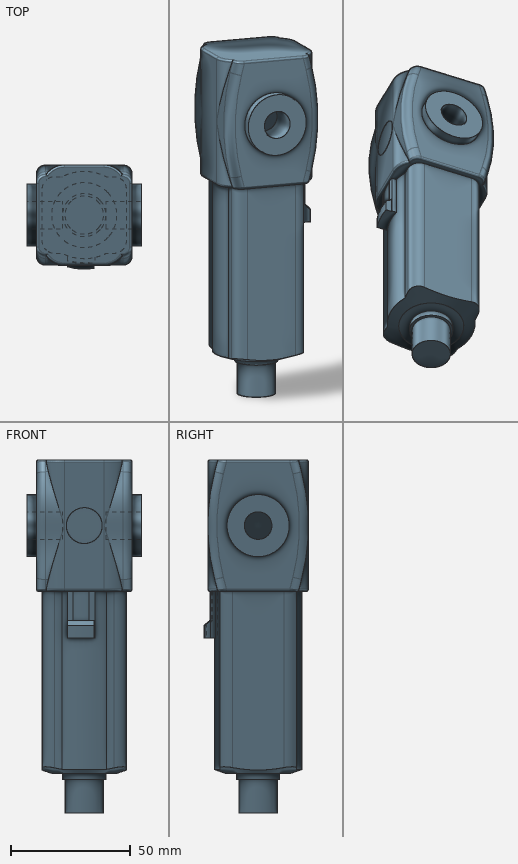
import cadquery as cq
import math

HEAD_WIDTH = 40.0
HEAD_DEPTH = 42.0
HEAD_HEIGHT = 55.0
HEAD_EDGE_RADIUS = 1.0
BULGE_RADIUS = 90.0
BULGE_HALF_HEIGHT = 22.5
CORNER_RADIUS = 3.75
SHOULDER_START = 8.25
SHOULDER_END = 16.25
SHOULDER_RADIUS = 9.4

PORT_DIAMETER = 26.0
PORT_SPAN = 48.0
PORT_BORE = 11.5
PORT_BORE_DEPTH = 15.0

DIAL_DIAMETER = 15.0
DIAL_DEPTH = 0.1

BOWL_WIDTH = 35.2
BOWL_DEPTH = 36.5
BOWL_BOTTOM = -103.5
BOWL_CORNER_RADIUS = 5.2
BOWL_STEP_INNER = 9.2
BOWL_STEP_Y = 16.0
BOWL_CONE_INNER_RADIUS = 13.6
BOWL_CONE_ANGLE = 19.0

COLLAR_DIAMETER = 18.0
COLLAR_HEIGHT = 2.6
STEM_DIAMETER = 16.0
OVERALL_HEIGHT = 147.6

LATCH_LEFT = -6.9
RAIL_RIGHT = 4.4
TAB_RIGHT = 4.0
GROOVE_LEFT = -4.6
GROOVE_RIGHT = 2.0
LATCH_ROOT_Y = -15.0
RAIL_THICKNESS = 2.0
GROOVE_DEPTH = 0.3
TAB_REACH = 22.6
TAB_TOP = -39.7
TAB_SHOULDER = -41.7
TAB_BOTTOM = -47.0

HEAD_TOP = HEAD_HEIGHT / 2
HEAD_BOTTOM = -HEAD_TOP
STEM_BOTTOM = HEAD_TOP - OVERALL_HEIGHT
BOWL_FRONT = BOWL_DEPTH / 2
BOWL_BULGE = BOWL_FRONT - BOWL_STEP_Y
BOWL_ARC_RADIUS = (BOWL_STEP_INNER**2 + BOWL_BULGE**2) / (2 * BOWL_BULGE)
BOWL_ARC_CENTER_Y = BOWL_ARC_RADIUS - BOWL_FRONT


def block(x_min, x_max, y_min, y_max, z_min, z_max):
    """Axis-aligned box between two corners."""
    size = (x_max - x_min, y_max - y_min, z_max - z_min)
    return cq.Workplane("XY").box(*size, centered=False).translate((x_min, y_min, z_min))


def make_bowed_block():
    """Full-width block whose front and back bow outward at mid height."""
    half = HEAD_DEPTH / 2
    tilt = math.asin(BULGE_HALF_HEIGHT / BULGE_RADIUS)
    arc_end_y = half - BULGE_RADIUS * (1 - math.cos(tilt))
    rim_y = arc_end_y - (HEAD_TOP - BULGE_HALF_HEIGHT) * math.tan(tilt)
    profile = (
        cq.Workplane("YZ")
        .moveTo(-rim_y, HEAD_BOTTOM)
        .lineTo(rim_y, HEAD_BOTTOM)
        .lineTo(arc_end_y, -BULGE_HALF_HEIGHT)
        .threePointArc((half, 0), (arc_end_y, BULGE_HALF_HEIGHT))
        .lineTo(rim_y, HEAD_TOP)
        .lineTo(-rim_y, HEAD_TOP)
        .lineTo(-arc_end_y, BULGE_HALF_HEIGHT)
        .threePointArc((-half, 0), (-arc_end_y, -BULGE_HALF_HEIGHT))
        .close()
    )
    bowed = profile.extrude(HEAD_WIDTH / 2, both=True)
    return bowed.faces("<X or >X").edges("not |Y").fillet(CORNER_RADIUS)


def make_center_block():
    """Upright block with flat front and back strips and rounded shoulders."""
    half = HEAD_DEPTH / 2

    def shoulder_y(x):
        run = x - SHOULDER_START
        return half - SHOULDER_RADIUS + math.sqrt(SHOULDER_RADIUS**2 - run**2)

    mid_x = (SHOULDER_START + SHOULDER_END) / 2
    mid_y = shoulder_y(mid_x)
    end_y = shoulder_y(SHOULDER_END)
    profile = (
        cq.Workplane("XY")
        .moveTo(-SHOULDER_START, half)
        .lineTo(SHOULDER_START, half)
        .threePointArc((mid_x, mid_y), (SHOULDER_END, end_y))
        .lineTo(SHOULDER_END, -end_y)
        .threePointArc((mid_x, -mid_y), (SHOULDER_START, -half))
        .lineTo(-SHOULDER_START, -half)
        .threePointArc((-mid_x, -mid_y), (-SHOULDER_END, -end_y))
        .lineTo(-SHOULDER_END, end_y)
        .threePointArc((-mid_x, mid_y), (-SHOULDER_START, half))
        .close()
    )
    return profile.extrude(HEAD_TOP, both=True)


def make_head():
    head = make_bowed_block().union(make_center_block())
    head = head.faces("<Z or >Z").edges().fillet(HEAD_EDGE_RADIUS)
    ports = cq.Workplane("YZ").circle(PORT_DIAMETER / 2).extrude(PORT_SPAN / 2, both=True)
    return head.union(ports)


def cut_head_recesses(body):
    bore = cq.Workplane("YZ", origin=(PORT_SPAN / 2, 0, 0)).circle(PORT_BORE / 2)
    right_bore = bore.extrude(-PORT_BORE_DEPTH)
    left_bore = right_bore.mirror("YZ")
    dial_plane = cq.Workplane("XZ", origin=(0, -HEAD_DEPTH / 2, 0))
    dial = dial_plane.circle(DIAL_DIAMETER / 2).extrude(-DIAL_DEPTH)
    return body.cut(right_bore).cut(left_bore).cut(dial)


def make_bowl():
    """Bowl with flat sides, bulged front and back, and a conical bottom edge."""
    cone_run = BOWL_WIDTH / 2 + BOWL_FRONT
    height = HEAD_BOTTOM - BOWL_BOTTOM
    base = cq.Workplane("XY", origin=(0, 0, BOWL_BOTTOM))

    core = base.rect(BOWL_WIDTH, 2 * BOWL_STEP_Y).extrude(height)
    core = core.edges("|Z").fillet(BOWL_CORNER_RADIUS)
    bulges = (
        base
        .moveTo(-BOWL_STEP_INNER, -BOWL_STEP_Y)
        .threePointArc((0, -BOWL_FRONT), (BOWL_STEP_INNER, -BOWL_STEP_Y))
        .lineTo(BOWL_STEP_INNER, BOWL_STEP_Y)
        .threePointArc((0, BOWL_FRONT), (-BOWL_STEP_INNER, BOWL_STEP_Y))
        .close()
        .extrude(height)
    )

    rise = cone_run * math.tan(math.radians(BOWL_CONE_ANGLE))
    cone_top = BOWL_BOTTOM + rise
    cone_outer_radius = BOWL_CONE_INNER_RADIUS + cone_run
    envelope = (
        cq.Workplane("XZ")
        .moveTo(0, BOWL_BOTTOM)
        .lineTo(BOWL_CONE_INNER_RADIUS, BOWL_BOTTOM)
        .lineTo(cone_outer_radius, cone_top)
        .lineTo(cone_outer_radius, HEAD_BOTTOM)
        .lineTo(0, HEAD_BOTTOM)
        .close()
        .revolve(360, (0, 0, 0), (0, 1, 0))
    )
    return core.union(bulges).intersect(envelope)


def make_drain():
    collar_plane = cq.Workplane("XY", origin=(0, 0, BOWL_BOTTOM))
    collar = collar_plane.circle(COLLAR_DIAMETER / 2).extrude(-COLLAR_HEIGHT)
    stem = collar_plane.circle(STEM_DIAMETER / 2).extrude(STEM_BOTTOM - BOWL_BOTTOM)
    return collar.union(stem)


def bowl_shell(offset, z_min, z_max):
    """Cylinder concentric with the front bulge of the bowl, larger by the offset."""
    plane = cq.Workplane("XY", origin=(0, BOWL_ARC_CENTER_Y, z_min))
    return plane.circle(BOWL_ARC_RADIUS + offset).extrude(z_max - z_min)


def latch_slab(x_min, x_max, z_min, z_max):
    return block(x_min, x_max, -TAB_REACH, LATCH_ROOT_Y, z_min, z_max)


def make_latch():
    """Grooved rail down the bowl front, ending in a thumb tab with a sloped top."""
    rail = latch_slab(LATCH_LEFT, RAIL_RIGHT, TAB_BOTTOM, HEAD_BOTTOM)
    rail = rail.intersect(bowl_shell(RAIL_THICKNESS, TAB_BOTTOM, HEAD_BOTTOM))
    groove = latch_slab(GROOVE_LEFT, GROOVE_RIGHT, TAB_TOP, HEAD_BOTTOM)
    floor = bowl_shell(RAIL_THICKNESS - GROOVE_DEPTH, TAB_TOP, HEAD_BOTTOM)
    rail = rail.cut(groove.cut(floor))

    tab_offset = TAB_REACH - BOWL_FRONT
    tab_radius = BOWL_ARC_RADIUS + tab_offset
    rail_radius = BOWL_ARC_RADIUS + RAIL_THICKNESS
    tab_round = (
        cq.Workplane("XZ", origin=(0, BOWL_ARC_CENTER_Y, 0))
        .moveTo(0, TAB_BOTTOM)
        .lineTo(tab_radius, TAB_BOTTOM)
        .lineTo(tab_radius, TAB_SHOULDER)
        .lineTo(rail_radius, TAB_TOP)
        .lineTo(0, TAB_TOP)
        .close()
        .revolve(360, (0, 0, 0), (0, 1, 0))
    )
    tab = latch_slab(LATCH_LEFT, TAB_RIGHT, TAB_BOTTOM, TAB_TOP).intersect(tab_round)
    return rail.union(tab)


body = make_head().union(make_bowl()).union(make_drain()).union(make_latch())
result = cut_head_recesses(body)